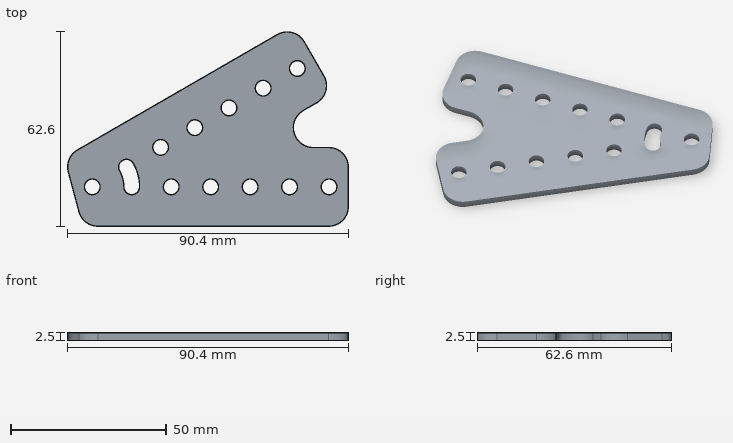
import cadquery as cq
import math

length = 90.4
thickness = 2.5
hole_row_length = 76.2
pitch_count = 6
arm_angle = 30.0
hole_diameter = 5.0
tip_margin = 6.2

pitch = hole_row_length / pitch_count
corner_radius = pitch / 2
arm_half_width = pitch
half_angle = math.radians(arm_angle / 2)
tip_x = hole_row_length + tip_margin



def mirror(point):
    """Reflect a point across the bisector of the two arms."""
    x, y = point
    cosine = math.cos(2 * half_angle)
    sine = math.sin(2 * half_angle)
    return (x * cosine + y * sine, x * sine - y * cosine)


def polar(radius, degrees):
    angle = math.radians(degrees)
    return (radius * math.cos(angle), radius * math.sin(angle))


def heel_corner():
    """Sharp lower heel corner, set so the rounded plate has its full length."""
    round_x = tip_x - length + corner_radius
    center_offset = arm_half_width - corner_radius
    round_y = center_offset / math.cos(2 * half_angle) + round_x * math.tan(2 * half_angle)
    lower_round_x, _ = mirror((round_x, round_y))
    tangent_length = corner_radius * math.tan(math.pi / 4 - half_angle / 2)
    return (lower_round_x - tangent_length, -arm_half_width)


def make_plate():
    heel = heel_corner()
    outer_tip = (tip_x, -arm_half_width)
    inner_tip = (tip_x, arm_half_width)
    crotch = (arm_half_width / math.tan(half_angle), arm_half_width)
    outline = [heel, outer_tip, inner_tip, crotch, mirror(inner_tip), mirror(outer_tip), mirror(heel)]
    plate = cq.Workplane("XY").polyline(outline).close().extrude(thickness)
    return plate.edges("|Z").fillet(corner_radius)


def make_holes():
    straight_row = [(i * pitch, 0) for i in range(pitch_count + 1) if i != 1]
    angled_row = [polar(i * pitch, arm_angle) for i in range(2, pitch_count + 1)]
    centers = straight_row + angled_row
    return cq.Workplane("XY").pushPoints(centers).circle(hole_diameter / 2).extrude(thickness)


def make_slot():
    """Curved slot, one pitch from the pivot, sweeping from one arm to the other."""
    half_width = hole_diameter / 2
    inner = pitch - half_width
    outer = pitch + half_width
    mid_angle = arm_angle / 2
    start_cap = (pitch, -half_width)
    return (
        cq.Workplane("XY")
        .moveTo(outer, 0)
        .threePointArc(polar(outer, mid_angle), polar(outer, arm_angle))
        .threePointArc(mirror(start_cap), polar(inner, arm_angle))
        .threePointArc(polar(inner, mid_angle), (inner, 0))
        .threePointArc(start_cap, (outer, 0))
        .close()
        .extrude(thickness)
    )


result = make_plate().cut(make_holes()).cut(make_slot())